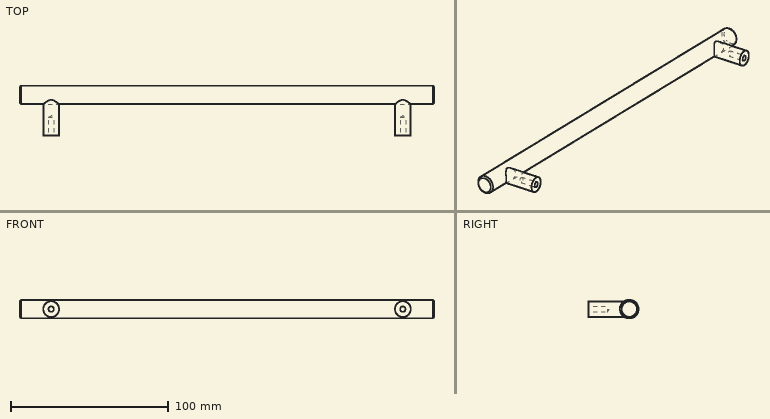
import cadquery as cq
import math

bar_length = 264.0
bar_diameter = 12.0
bar_end_chamfer = 1.0

overall_depth = 32.0
post_diameter = 10.0
post_spacing = 224.0

screw_hole_diameter = 3.5
screw_hole_depth = 12.0
drill_point_angle = 118.0

bar_radius = bar_diameter / 2
post_reach = overall_depth - bar_radius
screw_hole_radius = screw_hole_diameter / 2
drill_point_depth = screw_hole_radius / math.tan(math.radians(drill_point_angle / 2))


def bar_cylinder():
    """Plain round bar centred on the origin."""
    return cq.Workplane("YZ").circle(bar_radius).extrude(bar_length / 2, both=True)


def make_bar():
    """Grip bar with both end rims chamfered."""
    return bar_cylinder().faces("<X or >X").chamfer(bar_end_chamfer)


def screw_hole(x):
    """Drilled volume at position x, revolved about the post axis."""
    shoulder_y = screw_hole_depth - post_reach
    return (
        cq.Workplane("XY", origin=(x, 0, 0))
        .moveTo(0, -post_reach)
        .lineTo(screw_hole_radius, -post_reach)
        .lineTo(screw_hole_radius, shoulder_y)
        .lineTo(0, shoulder_y + drill_point_depth)
        .close()
        .revolve(360, (0, 0, 0), (0, 1, 0))
    )


def make_post(x):
    """Post at position x, with a saddle end that fits the bar and a screw hole in its free end."""
    free_end = cq.Workplane("XZ", origin=(x, -post_reach, 0))
    blank = free_end.circle(post_diameter / 2).extrude(-post_reach)
    return blank.cut(bar_cylinder()).cut(screw_hole(x))


bar = make_bar()
posts = [make_post(side * post_spacing / 2) for side in (-1, 1)]

result = cq.Compound.makeCompound([bar.val(), *[post.val() for post in posts]])